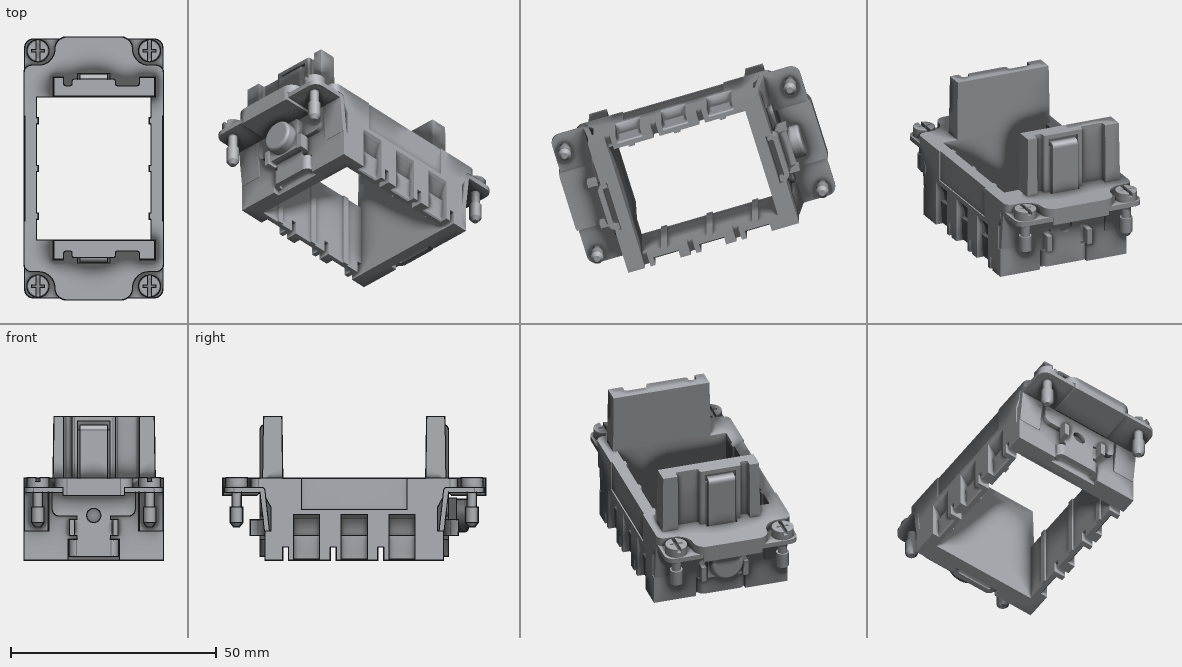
import cadquery as cq
import math

TOTAL_HEIGHT = 35.0
FLANGE_TOP = 20.0
PLATE_TOP = 17.8
SHEET = 1.2
PLATE_BOTTOM = PLATE_TOP - SHEET

HALF_WIDTH = 16.99
HALF_LENGTH = 32.0
END_WALL_Y = 21.7
OPENING_HALF_X = 13.9
OPENING_HALF_Y = 17.35

FLANGE_NOSE_RADIUS = 2.9
FLANGE_NOSE_HALF_FLAT = 6.5
SCREW_RELIEF_RADIUS = 4.0
FLANGE_SHOULDER_RADIUS = 1.85
NOSE_BLOCK_HALF_X = 7.5
NOSE_BLOCK_BOTTOM = 15.8
NOSE_BLOCK_CHAMFER = 0.8

STATION_PITCH = 11.6
STATIONS = (-STATION_PITCH, 0, STATION_PITCH)
PANEL_HALF_Y = 12.8
PANEL_BOTTOM = 12.35
PANEL_DEPTH = 0.3
RIB_WIDTH = 1.55
RIB_DEPTH = 0.45
WINDOW_WIDTH = 6.35
WINDOW_TOP = 11.15
WINDOW_LEDGE_Z = 6.1
WINDOW_LOWER_DEPTH = 1.65
WINDOW_LEDGE_DEPTH = 1.4
WINDOW_BEVEL = 0.3
WINDOW_SLOPE = 0.95
WINDOW_UPPER_DEPTH = 2.4
SLOT_WIDTH = 1.4
SLOT_HEIGHT = 3.25
SLOT_FROM_STATION = 5.1

TOWER_X_MIN = -9.9
TOWER_X_MAX = 15.0
TOWER_OUTER_Y = 22.3
TOWER_INSET = 0.225
TOWER_GROOVE_Y = 20.1
TOWER_PAD_Y = 21.7
TOWER_PAD_HALF_X = 5.25
NARROW_GROOVE_X = -7.3
WIDE_GROOVE_X = 11.1
GROOVE_RADIUS = 0.5

LATCH_OUTER_Y = 22.9
LATCH_HALF_X = 3.3
LATCH_TOP = 32.95
LATCH_RADIUS = 1.2
LATCH_POCKET_HALF_X = 4.0
LATCH_POCKET_TOP = 33.9
LATCH_POCKET_Y = 20.85
LATCH_POCKET_OUTER_Y = 23.05
LATCH_POCKET_FLOOR = 18.75
LATCH_BACKING_Y = 21.4

EAR_HALF_X = 16.8
EAR_END_Y = 31.5
EAR_CORNER_RADIUS = 2.25
BEND_RADIUS = 0.9
SHEET_OUTER_Y = END_WALL_Y + SHEET
LEG_INNER_X = 11.1
LEG_BOTTOM = 7.1
LEG_SHIFT = 1.1
APRON_HALF_X = 10.1
APRON_BOTTOM = 10.75
APRON_RADIUS = 1.8
STRIP_HALF_X = 4.0
STRIP_BOTTOM = 1.0
HOOK_OUTER_X = 5.95
HOOK_BOTTOM = 6.0
HOOK_TOP = 9.9
HOOK_TIP_Y = 25.3
HOOK_INNER_RADIUS = 0.45
CLIP_OUTER_X = 6.0
CLIP_TOP = 5.05
CLIP_TIP_Y = 20.35
CLIP_INNER_RADIUS = 0.6

LEG_POCKET_INNER_X = 10.9
LEG_POCKET_Y = 20.3
LEG_POCKET_FLAT_TOP = 13.0
LEG_POCKET_TOP = 15.2
CLIP_POCKET_HALF_X = 6.3
CLIP_POCKET_Y = 20.1
CLIP_POCKET_TOP = 5.2

SCREW_X = 13.6
SCREW_Y = 28.6
SCREW_HEAD_RADIUS = 2.7
SCREW_HEAD_TOP = 20.2
SCREW_HEAD_ROUND = 0.2
SCREW_NECK_RADIUS = 1.15
SCREW_THREAD_RADIUS = 1.55
SCREW_THREAD_TOP = 13.0
SCREW_THREAD_BOTTOM = 9.2
SCREW_TIP_RADIUS = 0.8
SCREW_TIP_BOTTOM = 8.2
DRIVE_DEPTH = 1.1
DRIVE_SLOT_WIDTH = 0.95
DRIVE_CROSS_WIDTH = 0.6
DRIVE_CROSS_LENGTH = 3.15

TERMINAL_Z = 10.95
TERMINAL_HOLE_RADIUS = 1.7
CLAMP_HALF_SIDE = 4.3
CLAMP_OUTER_Y = 24.9
GROUND_HEAD_RADIUS = 4.0
GROUND_HEAD_END_Y = 27.7
GROUND_HEAD_ROUND = 0.8


def box(x0, x1, y0, y1, z0, z1):
    """Box between two opposite corners."""
    return cq.Workplane("XY").box(x1 - x0, y1 - y0, z1 - z0, centered=False).translate((x0, y0, z0))


def along_x(profile, x0, x1):
    """Extrude a closed YZ profile between two X positions."""
    return profile.extrude(x1 - x0).translate((x0, 0, 0))


def at_both_ends(shape):
    """The shape made for the +Y end, together with its mirror copy."""
    return shape.union(shape.mirror("XZ"))


def at_both_sides(shape):
    """The shape made for the +X side, together with its mirror copy."""
    return shape.union(shape.mirror("YZ"))


def cylinder_along_y(radius, y0, y1):
    """Cylinder on the ground terminal axis."""
    return (
        cq.Workplane("XZ").center(0, TERMINAL_Z).circle(radius).extrude(y0 - y1).translate((0, y0, 0))
    )


def flange_half():
    """Upper flange over the +Y half, with S-shaped reliefs around the screws."""
    nose_y = HALF_LENGTH - FLANGE_NOSE_RADIUS
    nose_x = FLANGE_NOSE_HALF_FLAT + FLANGE_NOSE_RADIUS
    relief_x = nose_x + SCREW_RELIEF_RADIUS
    shoulder_y = nose_y - SCREW_RELIEF_RADIUS
    shoulder_x = HALF_WIDTH - FLANGE_SHOULDER_RADIUS
    diagonal = math.sqrt(0.5)
    nose_mid = (
        FLANGE_NOSE_HALF_FLAT + FLANGE_NOSE_RADIUS * diagonal,
        nose_y + FLANGE_NOSE_RADIUS * diagonal,
    )
    relief_mid = (
        relief_x - SCREW_RELIEF_RADIUS * diagonal,
        nose_y - SCREW_RELIEF_RADIUS * diagonal,
    )
    shoulder_mid = (
        shoulder_x + FLANGE_SHOULDER_RADIUS * diagonal,
        shoulder_y - FLANGE_SHOULDER_RADIUS * (1 - diagonal),
    )
    quarter = (
        cq.Workplane("XY")
        .moveTo(0, 0)
        .lineTo(0, HALF_LENGTH)
        .lineTo(FLANGE_NOSE_HALF_FLAT, HALF_LENGTH)
        .threePointArc(nose_mid, (nose_x, nose_y))
        .threePointArc(relief_mid, (relief_x, shoulder_y))
        .lineTo(shoulder_x, shoulder_y)
        .threePointArc(shoulder_mid, (HALF_WIDTH, shoulder_y - FLANGE_SHOULDER_RADIUS))
        .lineTo(HALF_WIDTH, 0)
        .close()
    )
    return at_both_sides(quarter.extrude(FLANGE_TOP))


def nose_block():
    """Thicker middle of the flange, chamfered along its lower inner edge."""
    profile = (
        cq.Workplane("YZ")
        .moveTo(SHEET_OUTER_Y, FLANGE_TOP)
        .lineTo(SHEET_OUTER_Y, NOSE_BLOCK_BOTTOM + NOSE_BLOCK_CHAMFER)
        .lineTo(SHEET_OUTER_Y + NOSE_BLOCK_CHAMFER, NOSE_BLOCK_BOTTOM)
        .lineTo(HALF_LENGTH, NOSE_BLOCK_BOTTOM)
        .lineTo(HALF_LENGTH, FLANGE_TOP)
        .close()
    )
    return along_x(profile, -NOSE_BLOCK_HALF_X, NOSE_BLOCK_HALF_X)


def tower():
    """Drafted guide tower with two keying grooves."""
    height = TOTAL_HEIGHT - FLANGE_TOP
    draft = math.degrees(math.atan(TOWER_INSET / height))
    body = (
        cq.Workplane("XY", origin=(0, 0, FLANGE_TOP))
        .moveTo(TOWER_X_MIN, OPENING_HALF_Y)
        .lineTo(TOWER_X_MAX, OPENING_HALF_Y)
        .lineTo(TOWER_X_MAX, TOWER_OUTER_Y)
        .lineTo(TOWER_X_MIN, TOWER_OUTER_Y)
        .close()
        .extrude(height, taper=draft)
    )
    clear_y = HALF_LENGTH
    grooves = (
        cq.Workplane("XY", origin=(0, 0, FLANGE_TOP))
        .moveTo(NARROW_GROOVE_X, clear_y)
        .lineTo(NARROW_GROOVE_X, TOWER_GROOVE_Y)
        .lineTo(-TOWER_PAD_HALF_X, TOWER_GROOVE_Y)
        .lineTo(-TOWER_PAD_HALF_X, TOWER_PAD_Y)
        .lineTo(TOWER_PAD_HALF_X, TOWER_PAD_Y)
        .lineTo(TOWER_PAD_HALF_X, TOWER_GROOVE_Y)
        .lineTo(WIDE_GROOVE_X, TOWER_GROOVE_Y)
        .lineTo(WIDE_GROOVE_X, clear_y)
        .close()
        .extrude(height)
        .edges("|Z")
        .fillet(GROOVE_RADIUS)
    )
    return body.cut(grooves)


def latch_pocket():
    """Clearance around the latch tongue, sunk a little into the flange."""
    return box(
        -LATCH_POCKET_HALF_X, LATCH_POCKET_HALF_X,
        LATCH_POCKET_Y, LATCH_POCKET_OUTER_Y,
        LATCH_POCKET_FLOOR, LATCH_POCKET_TOP,
    )


def latch_tongue():
    """Upright tongue with a rounded top outer edge, on a thin wider backing."""
    tongue = box(
        -LATCH_HALF_X, LATCH_HALF_X, LATCH_POCKET_Y, LATCH_OUTER_Y, LATCH_POCKET_FLOOR, LATCH_TOP
    )
    tongue = tongue.faces(">Y").edges(">Z").fillet(LATCH_RADIUS)
    backing = box(
        -LATCH_POCKET_HALF_X, LATCH_POCKET_HALF_X,
        LATCH_POCKET_Y, LATCH_BACKING_Y,
        LATCH_POCKET_FLOOR, LATCH_TOP - LATCH_RADIUS,
    )
    return tongue.union(backing)


def side_window(y):
    """Window in the +X wall: leaning lower face, ledge, curved upper part and sloped top."""
    lower_x = HALF_WIDTH - WINDOW_LOWER_DEPTH
    upper_x = HALF_WIDTH - WINDOW_UPPER_DEPTH
    slope_x = HALF_WIDTH - WINDOW_SLOPE
    slope_z = WINDOW_TOP - WINDOW_SLOPE
    run = slope_x - upper_x
    rise = slope_z - WINDOW_LEDGE_Z
    radius = (run**2 + rise**2) / (2 * run)
    half_angle = math.asin(rise / radius) / 2
    arc_mid = (
        upper_x + radius * (1 - math.cos(half_angle)),
        WINDOW_LEDGE_Z + radius * math.sin(half_angle),
    )
    return (
        cq.Workplane("XZ")
        .moveTo(HALF_WIDTH, 0)
        .lineTo(lower_x - WINDOW_BEVEL, 0)
        .lineTo(lower_x, WINDOW_BEVEL)
        .lineTo(HALF_WIDTH - WINDOW_LEDGE_DEPTH, WINDOW_LEDGE_Z)
        .lineTo(upper_x, WINDOW_LEDGE_Z)
        .threePointArc(arc_mid, (slope_x, slope_z))
        .lineTo(HALF_WIDTH, WINDOW_TOP)
        .close()
        .extrude(WINDOW_WIDTH / 2, both=True)
        .translate((0, y, 0))
    )


def side_features_cut():
    """Panel recess, windows and bottom slots of the +X wall."""
    cut = box(
        HALF_WIDTH - PANEL_DEPTH, HALF_WIDTH, -PANEL_HALF_Y, PANEL_HALF_Y, PANEL_BOTTOM, FLANGE_TOP
    )
    for y in STATIONS:
        slot_y = y - SLOT_FROM_STATION
        slot = box(
            OPENING_HALF_X - RIB_DEPTH, HALF_WIDTH,
            slot_y - SLOT_WIDTH / 2, slot_y + SLOT_WIDTH / 2,
            0, SLOT_HEIGHT,
        )
        cut = cut.union(side_window(y)).union(slot)
    return cut


def side_ribs():
    """Upright guide ribs on the inside of the +X wall."""
    ribs = cq.Workplane("XY")
    for y in STATIONS:
        ribs = ribs.union(
            box(
                OPENING_HALF_X - RIB_DEPTH, OPENING_HALF_X,
                y - RIB_WIDTH / 2, y + RIB_WIDTH / 2,
                0, FLANGE_TOP,
            )
        )
    return ribs


def leg_pocket():
    """Pocket behind one bracket leg, open to the side."""
    lean_top = PLATE_TOP - BEND_RADIUS
    lean = LEG_SHIFT * (lean_top - LEG_POCKET_TOP) / (lean_top - LEG_BOTTOM)
    profile = (
        cq.Workplane("YZ")
        .moveTo(END_WALL_Y, lean_top)
        .lineTo(END_WALL_Y - lean, LEG_POCKET_TOP)
        .lineTo(LEG_POCKET_Y, LEG_POCKET_FLAT_TOP)
        .lineTo(LEG_POCKET_Y, LEG_BOTTOM)
        .lineTo(END_WALL_Y, LEG_BOTTOM)
        .close()
    )
    return along_x(profile, LEG_POCKET_INNER_X, HALF_WIDTH)


def clip_pocket():
    """Pocket in the end wall that takes the bracket's lower clips."""
    return box(-CLIP_POCKET_HALF_X, CLIP_POCKET_HALF_X, CLIP_POCKET_Y, END_WALL_Y, 0, CLIP_POCKET_TOP)


def under_flange():
    """Space outside the end wall and below the plate, rounded to match the bracket's bend."""
    space = box(-HALF_WIDTH, HALF_WIDTH, END_WALL_Y, HALF_LENGTH, 0, PLATE_TOP)
    return space.faces(">Z").edges("<Y").fillet(BEND_RADIUS)


def make_housing():
    """Flanged frame with two guide towers, open through the middle."""
    end_half = flange_half().cut(under_flange())
    end_half = end_half.union(nose_block().intersect(flange_half()))
    end_half = end_half.union(tower())
    end_half = end_half.cut(latch_pocket()).union(latch_tongue())
    end_half = end_half.cut(at_both_sides(leg_pocket())).cut(clip_pocket())
    body = at_both_ends(end_half)
    body = body.cut(
        box(-OPENING_HALF_X, OPENING_HALF_X, -OPENING_HALF_Y, OPENING_HALF_Y, 0, FLANGE_TOP)
    )
    body = body.union(at_both_sides(side_ribs()))
    body = body.cut(at_both_sides(side_features_cut()))
    return body


def folded_sheet(x0, x1, bottom, shift):
    """Ear plate folded down along the end wall, the lower part leaning inward by shift."""
    corner_y = END_WALL_Y + BEND_RADIUS
    corner_z = PLATE_TOP - BEND_RADIUS
    diagonal = math.sqrt(0.5)
    profile = (
        cq.Workplane("YZ")
        .moveTo(EAR_END_Y, PLATE_TOP)
        .lineTo(corner_y, PLATE_TOP)
        .threePointArc(
            (corner_y - BEND_RADIUS * diagonal, corner_z + BEND_RADIUS * diagonal),
            (END_WALL_Y, corner_z),
        )
        .lineTo(END_WALL_Y - shift, bottom)
        .lineTo(SHEET_OUTER_Y - shift, bottom)
        .lineTo(SHEET_OUTER_Y, PLATE_BOTTOM)
        .lineTo(EAR_END_Y, PLATE_BOTTOM)
        .close()
    )
    return along_x(profile, x0, x1)


def bent_tab(flat_x, tip_x, face_y, inner_radius, turn, tip_y, z0, z1):
    """Tab at the +X edge of the strip, bent out (turn 1) or in (turn -1).

    face_y is the sheet face on the outside of the bend.
    """
    outer_radius = inner_radius + SHEET
    centre_y = face_y + turn * outer_radius
    diagonal = math.sqrt(0.5)
    bend_x = tip_x - outer_radius
    return (
        cq.Workplane("XY", origin=(0, 0, z0))
        .moveTo(flat_x, face_y)
        .lineTo(bend_x, face_y)
        .threePointArc(
            (bend_x + outer_radius * diagonal, centre_y - turn * outer_radius * diagonal),
            (tip_x, centre_y),
        )
        .lineTo(tip_x, tip_y)
        .lineTo(tip_x - SHEET, tip_y)
        .lineTo(tip_x - SHEET, centre_y)
        .threePointArc(
            (bend_x + inner_radius * diagonal, centre_y - turn * inner_radius * diagonal),
            (bend_x, face_y + turn * SHEET),
        )
        .lineTo(flat_x, face_y + turn * SHEET)
        .close()
        .extrude(z1 - z0)
    )


def make_bracket():
    """Bracket of the +Y end: ears, legs, middle apron, strip, hooks and clips."""
    apron = folded_sheet(-APRON_HALF_X, APRON_HALF_X, APRON_BOTTOM, 0)
    apron = apron.edges("|Y").edges("<Z").edges("<X or >X").fillet(APRON_RADIUS)
    strip = box(-STRIP_HALF_X, STRIP_HALF_X, END_WALL_Y, SHEET_OUTER_Y, STRIP_BOTTOM, PLATE_BOTTOM)
    ears = box(-EAR_HALF_X, EAR_HALF_X, SHEET_OUTER_Y, EAR_END_Y, PLATE_BOTTOM, PLATE_TOP)
    leg = folded_sheet(LEG_INNER_X, EAR_HALF_X, LEG_BOTTOM, LEG_SHIFT)
    hook = bent_tab(
        0, HOOK_OUTER_X, END_WALL_Y, HOOK_INNER_RADIUS, 1, HOOK_TIP_Y, HOOK_BOTTOM, HOOK_TOP
    )
    clip = bent_tab(
        0, CLIP_OUTER_X, SHEET_OUTER_Y, CLIP_INNER_RADIUS, -1, CLIP_TIP_Y, STRIP_BOTTOM, CLIP_TOP
    )
    bracket = apron.union(strip).union(ears)
    for side_part in (leg, hook, clip):
        bracket = bracket.union(at_both_sides(side_part))
    bracket = bracket.edges("|Z").edges(">Y").edges("<X or >X").fillet(EAR_CORNER_RADIUS)
    bracket = bracket.cut(nose_block())
    bracket = bracket.cut(cylinder_along_y(TERMINAL_HOLE_RADIUS, END_WALL_Y, SHEET_OUTER_Y))
    screw_hole = (
        cq.Workplane("XY", origin=(SCREW_X, SCREW_Y, PLATE_BOTTOM))
        .circle(SCREW_NECK_RADIUS)
        .extrude(SHEET)
    )
    return bracket.cut(at_both_sides(screw_hole))


def make_corner_screw(x, y):
    """Captive screw with a cross-slotted head, thin neck and tapered tip."""
    head_height = SCREW_HEAD_TOP - PLATE_TOP
    head = cq.Workplane("XY").circle(SCREW_HEAD_RADIUS).extrude(head_height)
    head = head.translate((0, 0, PLATE_TOP)).faces(">Z").edges().fillet(SCREW_HEAD_ROUND)
    stem = (
        cq.Workplane("XZ")
        .moveTo(0, PLATE_TOP)
        .lineTo(SCREW_NECK_RADIUS, PLATE_TOP)
        .lineTo(SCREW_NECK_RADIUS, SCREW_THREAD_TOP)
        .lineTo(SCREW_THREAD_RADIUS, SCREW_THREAD_TOP)
        .lineTo(SCREW_THREAD_RADIUS, SCREW_THREAD_BOTTOM)
        .lineTo(SCREW_TIP_RADIUS, SCREW_TIP_BOTTOM)
        .lineTo(0, SCREW_TIP_BOTTOM)
        .close()
        .revolve(360, (0, 0, 0), (0, 1, 0))
    )
    drive = (
        cq.Workplane("XY", origin=(0, 0, SCREW_HEAD_TOP - DRIVE_DEPTH))
        .rect(DRIVE_SLOT_WIDTH, 2 * SCREW_HEAD_RADIUS)
        .extrude(DRIVE_DEPTH)
        .union(
            cq.Workplane("XY", origin=(0, 0, SCREW_HEAD_TOP - DRIVE_DEPTH))
            .rect(DRIVE_CROSS_LENGTH, DRIVE_CROSS_WIDTH)
            .extrude(DRIVE_DEPTH)
        )
    )
    return head.union(stem).cut(drive).translate((x, y, 0))


def make_clamp_plate():
    """Square plate held between the hooks of the +Y bracket."""
    plate = box(
        -CLAMP_HALF_SIDE, CLAMP_HALF_SIDE,
        SHEET_OUTER_Y, CLAMP_OUTER_Y,
        TERMINAL_Z - CLAMP_HALF_SIDE, TERMINAL_Z + CLAMP_HALF_SIDE,
    )
    return plate.cut(cylinder_along_y(TERMINAL_HOLE_RADIUS, SHEET_OUTER_Y, CLAMP_OUTER_Y))


def make_ground_screw():
    """Round-headed screw through the clamp plate and the +Y bracket."""
    head = cylinder_along_y(GROUND_HEAD_RADIUS, CLAMP_OUTER_Y, GROUND_HEAD_END_Y)
    head = head.faces(">Y").edges().fillet(GROUND_HEAD_ROUND)
    return head.union(cylinder_along_y(TERMINAL_HOLE_RADIUS, END_WALL_Y, CLAMP_OUTER_Y))


rear_bracket = make_bracket()
front_bracket = rear_bracket.mirror("XZ")
housing = make_housing()
clamp_plate = make_clamp_plate()
ground_screw = make_ground_screw()
corner_screws = [
    make_corner_screw(x, y) for x in (-SCREW_X, SCREW_X) for y in (-SCREW_Y, SCREW_Y)
]

bodies = [housing, rear_bracket, front_bracket, clamp_plate, ground_screw, *corner_screws]
result = cq.Compound.makeCompound([body.solids().val() for body in bodies])